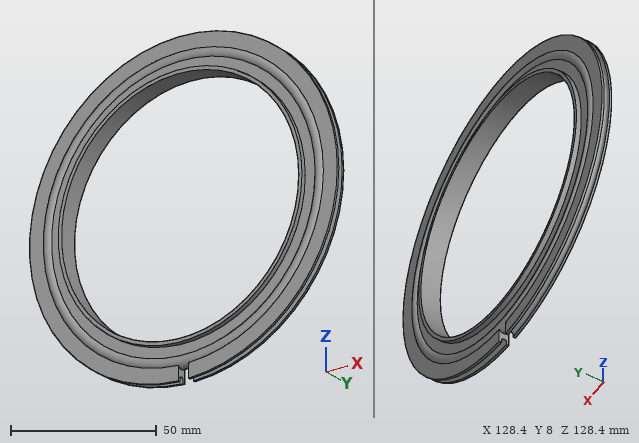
import cadquery as cq
import math

bore_radius = 49.5
collar_radius = 50.9
collar_width = 8.0
web_width = 4.0

seal_mean_diameter = 113.5
seal_section_diameter = 5.3

outer_radius = 64.2
outer_width = web_width
groove_width = 2.0
groove_depth = 2.0
split_gap = 4.2

collar_half = collar_width / 2
web_half = web_width / 2
outer_half = outer_width / 2
groove_half = groove_width / 2
groove_bottom = outer_radius - groove_depth
groove_arc_start = groove_bottom + groove_half
seal_radius = seal_mean_diameter / 2
seal_section_radius = seal_section_diameter / 2
seal_inner_radius = seal_radius - seal_section_radius
seal_outer_radius = seal_radius + seal_section_radius


def seal_chord(half_width):
    """Radial distance from the middle of the seal section to its surface at a given Y."""
    return math.sqrt(seal_section_radius**2 - half_width**2)


def revolve_ring(profile):
    """Revolve a radius-by-Y section about the Y axis."""
    return profile.revolve(360, (0, 0, 0), (0, 1, 0))


def make_inner_ring():
    """Collar and web, with a concave web edge that cradles the seal."""
    web_edge = seal_radius - seal_chord(web_half)
    profile = (
        cq.Workplane("XY")
        .moveTo(bore_radius, -collar_half)
        .lineTo(collar_radius, -collar_half)
        .lineTo(collar_radius, -web_half)
        .lineTo(web_edge, -web_half)
        .threePointArc((seal_inner_radius, 0), (web_edge, web_half))
        .lineTo(collar_radius, web_half)
        .lineTo(collar_radius, collar_half)
        .lineTo(bore_radius, collar_half)
        .close()
    )
    return revolve_ring(profile)


def make_seal():
    """Complete ring of circular section."""
    section = cq.Workplane("XY").moveTo(seal_radius, 0).circle(seal_section_radius)
    return revolve_ring(section)


def make_outer_ring():
    """Grooved ring, concave inside against the seal and split at the bottom."""
    inner_edge = seal_radius + seal_chord(outer_half)
    profile = (
        cq.Workplane("XY")
        .moveTo(inner_edge, -outer_half)
        .lineTo(outer_radius, -outer_half)
        .lineTo(outer_radius, -groove_half)
        .lineTo(groove_arc_start, -groove_half)
        .threePointArc((groove_bottom, 0), (groove_arc_start, groove_half))
        .lineTo(outer_radius, groove_half)
        .lineTo(outer_radius, outer_half)
        .lineTo(inner_edge, outer_half)
        .threePointArc((seal_outer_radius, 0), (inner_edge, -outer_half))
        .close()
    )
    split = cq.Workplane("XY").box(
        split_gap, outer_width, outer_radius, centered=(True, True, False)
    ).translate((0, 0, -outer_radius))
    return revolve_ring(profile).cut(split)


inner_ring = make_inner_ring()
seal = make_seal()
outer_ring = make_outer_ring()

result = cq.Compound.makeCompound([inner_ring.val(), seal.val(), outer_ring.val()])